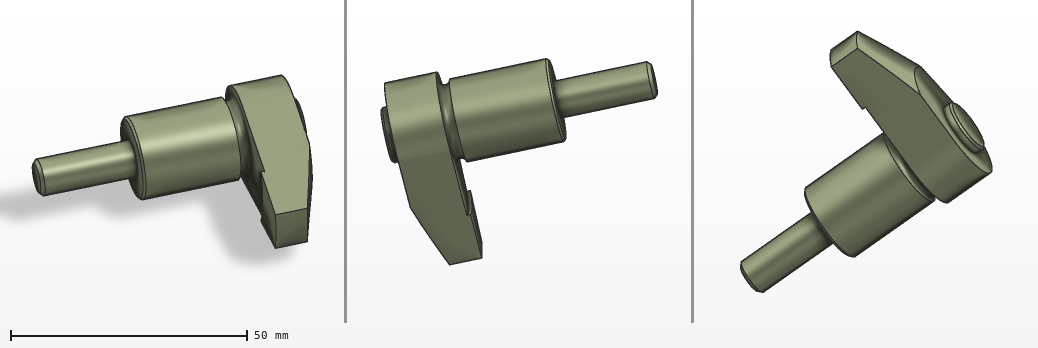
import cadquery as cq
import math

hub_radius = 11.0
lever_thickness = 11.2
tip_radius = 30.0
tip_half_width = 5.0
taper_angle = 20.0
taper_drop = 5.0
lip_radius = 20.0
lip_height = 0.8

button_radius = 6.0
button_height = 2.0
button_chamfer = 0.5

sleeve_radius = 9.0
sleeve_length = 21.4
sleeve_chamfer = 0.5
neck_length = 2.4
neck_min_radius = 8.0

pin_radius = 4.0
pin_length = 21.0
pin_chamfer = 0.77

lever_inner_y = -lever_thickness
sleeve_top_y = lever_inner_y - neck_length
sleeve_end_y = sleeve_top_y - sleeve_length
pin_end_y = sleeve_end_y - pin_length


def revolve_about_axis(profile):
    """Turn a closed (radius, Y) profile fully around the Y axis."""
    return profile.close().revolve(360, (0, 0, 0), (0, 1, 0))


def make_lever_plan():
    """Extrude the lever outline: hub arc, two tangent flanks, tip arc about the pin axis."""
    tip_x = math.sqrt(tip_radius**2 - tip_half_width**2)
    corner_angle = math.atan2(tip_half_width, tip_x)
    tangent_angle = corner_angle + math.acos(hub_radius / tip_radius)
    tangent_x = hub_radius * math.cos(tangent_angle)
    tangent_z = hub_radius * math.sin(tangent_angle)
    outline = (
        cq.Workplane("XZ")
        .moveTo(tangent_x, tangent_z)
        .threePointArc((-hub_radius, 0), (tangent_x, -tangent_z))
        .lineTo(tip_x, -tip_half_width)
        .threePointArc((tip_radius, 0), (tip_x, tip_half_width))
        .close()
    )
    return outline.extrude(lever_thickness + lip_height)


def make_lever_envelope():
    """Turned disc with a conical outer taper and a raised inner rim that forms the tip lip."""
    taper_start_radius = tip_radius - taper_drop / math.tan(math.radians(taper_angle))
    profile = (
        cq.Workplane("XY")
        .lineTo(taper_start_radius, 0)
        .lineTo(tip_radius, -taper_drop)
        .lineTo(tip_radius, lever_inner_y - lip_height)
        .lineTo(lip_radius, lever_inner_y - lip_height)
        .lineTo(lip_radius, lever_inner_y)
        .lineTo(0, lever_inner_y)
    )
    return revolve_about_axis(profile)


def make_spindle():
    """Button, necked sleeve and pin as one turned body through the lever."""
    neck_mid_y = (lever_inner_y + sleeve_top_y) / 2
    profile = (
        cq.Workplane("XY")
        .moveTo(0, button_height)
        .lineTo(button_radius - button_chamfer, button_height)
        .lineTo(button_radius, button_height - button_chamfer)
        .lineTo(button_radius, lever_inner_y)
        .lineTo(sleeve_radius, lever_inner_y)
        .threePointArc((neck_min_radius, neck_mid_y), (sleeve_radius, sleeve_top_y))
        .lineTo(sleeve_radius, sleeve_end_y + sleeve_chamfer)
        .lineTo(sleeve_radius - sleeve_chamfer, sleeve_end_y)
        .lineTo(pin_radius, sleeve_end_y)
        .lineTo(pin_radius, pin_end_y + pin_chamfer)
        .lineTo(pin_radius - pin_chamfer, pin_end_y)
        .lineTo(0, pin_end_y)
    )
    return revolve_about_axis(profile)


lever = make_lever_plan().intersect(make_lever_envelope())
result = lever.union(make_spindle())